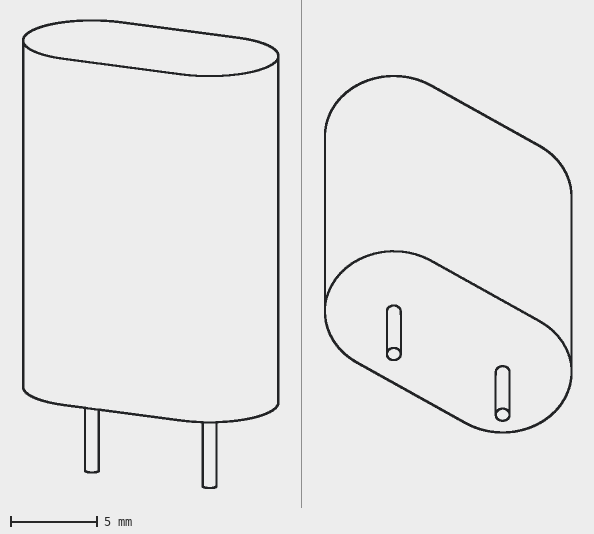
import cadquery as cq

total_height = 26.1
case_width = 15.5
case_depth = 8.0
case_height = 21.0
lead_diameter = 0.8

lead_spacing = case_width - case_depth
lead_length = total_height - case_height


def make_case():
    """Upright case with a slot-shaped outline, standing on Z = 0."""
    return cq.Workplane("XY").slot2D(case_width, case_depth).extrude(case_height)


def make_lead(x):
    """Round wire lead hanging from the underside of the case."""
    return cq.Workplane("XY").center(x, 0).circle(lead_diameter / 2).extrude(-lead_length)


case = make_case()
leads = []
for side in (-1, 1):
    leads.append(make_lead(side * lead_spacing / 2).val())

result = cq.Compound.makeCompound([case.val(), *leads])